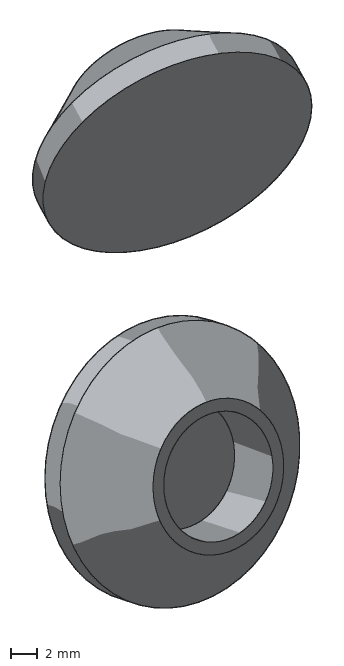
import cadquery as cq

flange_diameter = 22.0
nose_diameter = 12.0
bore_diameter = 10.0
flange_thickness = 2.0
cone_length = 5.0
bore_depth = cone_length

total_length = cone_length + flange_thickness
nose_x = -total_length / 2
flange_x = nose_x + cone_length
back_x = nose_x + total_length
bore_floor_x = nose_x + bore_depth

half_section = (
    cq.Workplane("XY")
    .moveTo(bore_floor_x, 0)
    .lineTo(bore_floor_x, bore_diameter / 2)
    .lineTo(nose_x, bore_diameter / 2)
    .lineTo(nose_x, nose_diameter / 2)
    .lineTo(flange_x, flange_diameter / 2)
    .lineTo(back_x, flange_diameter / 2)
    .lineTo(back_x, 0)
    .close()
)

result = half_section.revolve(360, (0, 0, 0), (1, 0, 0))